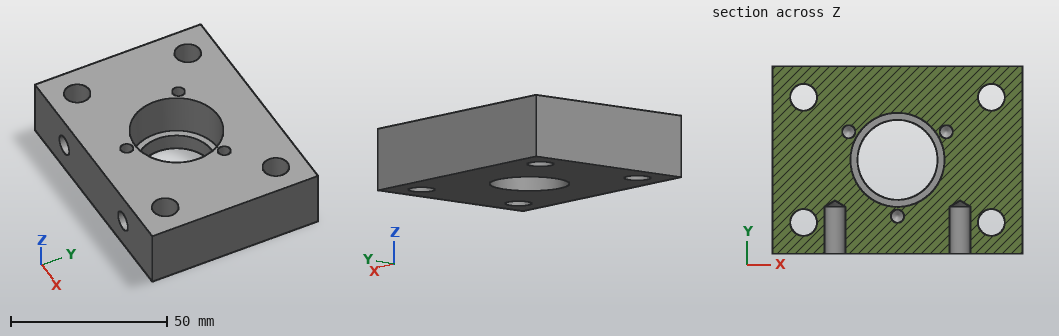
import cadquery as cq
import math

length = 80.0
width = 60.0
height = 20.0

bore_diameter = 25.5
recess_diameter = 30.0
recess_depth = 14.3

mount_diameter = 8.5
mount_spacing_x = 60.0
mount_spacing_y = 40.0

screw_diameter = 4.134
screw_circle_radius = 18.0
screw_depth = 12.0
screw_angles = (30, 150, 270)

side_diameter = 6.65
side_spacing = 40.0
side_depth = 15.0

drill_point_angle = 118.0


def drilled_hole(diameter, depth, entry, direction):
    """Blind hole of full-diameter depth, ending in a conical drill point."""
    radius = diameter / 2
    tip_length = radius / math.tan(math.radians(drill_point_angle / 2))
    axis = cq.Vector(*direction)
    start = cq.Vector(*entry)
    shank = cq.Solid.makeCylinder(radius, depth, start, axis)
    tip = cq.Solid.makeCone(radius, 0, tip_length, start + axis * depth, axis)
    return cq.Workplane(shank).union(cq.Workplane(tip))


result = cq.Workplane("XY").box(length, width, height, centered=(True, True, False))

result = result.faces(">Z").workplane().cboreHole(bore_diameter, recess_diameter, recess_depth)

result = (
    result.faces(">Z")
    .workplane()
    .rarray(mount_spacing_x, mount_spacing_y, 2, 2)
    .hole(mount_diameter)
)

for angle in screw_angles:
    x = screw_circle_radius * math.cos(math.radians(angle))
    y = screw_circle_radius * math.sin(math.radians(angle))
    result = result.cut(drilled_hole(screw_diameter, screw_depth, (x, y, height), (0, 0, -1)))

for x in (-side_spacing / 2, side_spacing / 2):
    entry = (x, -width / 2, height / 2)
    result = result.cut(drilled_hole(side_diameter, side_depth, entry, (0, 1, 0)))